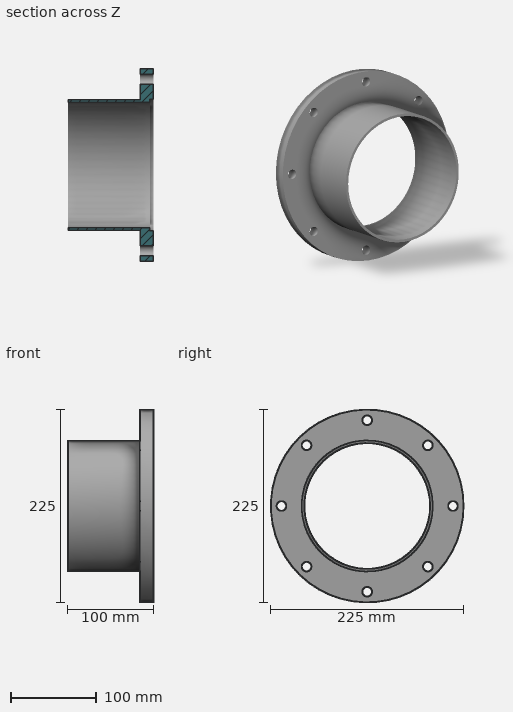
import cadquery as cq

total_length = 100.0
flange_diameter = 225.0
flange_thickness = 16.0
pipe_outer_diameter = 152.4
pipe_wall = 3.0
pipe_inner_diameter = pipe_outer_diameter - 2 * pipe_wall

socket_diameter = 153.0
socket_depth = 4.5

bolt_hole_diameter = 11.0
bolt_circle_diameter = 200.0
bolt_count = 8

flange_start = total_length - flange_thickness


def cylinder(diameter, start, end):
    """Solid cylinder along X between two X positions."""
    return cq.Workplane("YZ", origin=(start, 0, 0)).circle(diameter / 2).extrude(end - start)


def bolt_holes():
    """Cutters for the ring of bolt holes through the flange."""
    return (
        cq.Workplane("YZ", origin=(flange_start, 0, 0))
        .polarArray(bolt_circle_diameter / 2, 0, 360, bolt_count)
        .circle(bolt_hole_diameter / 2)
        .extrude(flange_thickness)
    )


pipe = cylinder(pipe_outer_diameter, 0, total_length)
flange = cylinder(flange_diameter, flange_start, total_length)
bore = cylinder(pipe_inner_diameter, 0, total_length)
socket = cylinder(socket_diameter, total_length - socket_depth, total_length)

result = pipe.union(flange).cut(bore).cut(socket).cut(bolt_holes())